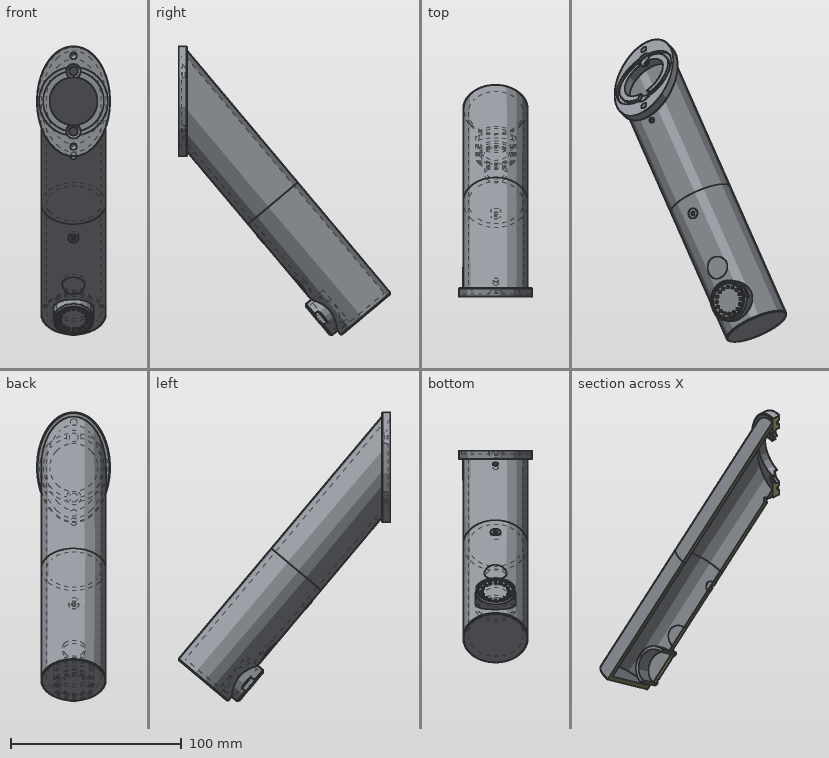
import cadquery as cq
import math

tilt = 50.0
slope = math.radians(tilt)
axis = cq.Vector(0, math.cos(slope), -math.sin(slope))
underside = cq.Vector(0, -math.sin(slope), -math.cos(slope))

flange_width = 43.0
flange_height = 64.5
flange_thickness = 5.0
flange_chamfer = 0.5
flange_bore_radius = 14.0
groove_inner_radius = 17.8
groove_outer_radius = 20.1
groove_depth = 1.7

bolt_offset = 17.6
bolt_hole_radius = 2.5
bolt_head_radius = 4.2
bolt_head_depth = 2.0
bolt_cone_depth = bolt_head_radius - bolt_hole_radius

dimple_offset = 26.5
dimple_diameter = 3.9
dimple_radius = dimple_diameter / 2
dimple_depth = dimple_radius

tube_diameter = 38.0
tube_radius = tube_diameter / 2
bore_radius = 16.0
wall = tube_radius - bore_radius
joint_station = 78.0
end_station = 162.9
end_chamfer = 0.5
drain_station = 26.7
drain_radius = 1.5

grub_station = 89.0
grub_diameter = 6.0
grub_radius = grub_diameter / 2
grub_proud = 0.2
grub_socket_width = 2.4
socket_sides = 6
grub_socket_depth = 1.0

window_station = 125.2
window_diameter = 13.0
window_radius = window_diameter / 2

nozzle_station = 147.5
nozzle_diameter = 23.8
nozzle_radius = nozzle_diameter / 2
nozzle_base = 10.1
nozzle_face = 24.0
nozzle_chamfer = 1.0
flat_offset = 11.2
flat_height = 3.5

aerator_radius = 10.0
aerator_thickness = 3.4
aerator_recess = 1.0
aerator_face = nozzle_face - aerator_recess
jet_count = 16
jet_circle_radius = 8.0
jet_radius = 0.8
jet_depth = 0.3

axis_start = cq.Vector(0, flange_thickness, 0)


def across_axis(station):
    """Workplane square to the spout axis, facing down the spout."""
    return cq.Workplane(cq.Plane(axis_start + axis * station, (1, 0, 0), axis))


def under_axis(station, height):
    """Workplane at a height below the spout axis, facing out of the underside."""
    origin = axis_start + axis * station + underside * height
    return cq.Workplane(cq.Plane(origin, (1, 0, 0), underside))


def underside_pin(station, radius, start, end):
    """Round pin square to the spout axis, between two heights."""
    return under_axis(station, start).circle(radius).extrude(end - start)


def flange_plane(depth, z=0):
    """Workplane parallel to the flange face at a depth into it, facing +Y."""
    return cq.Workplane(cq.Plane((0, depth, z), (1, 0, 0), (0, 1, 0)))


def flange_cone(depth, z, start_radius, end_radius, height):
    """Cone along +Y that starts at a depth into the flange."""
    cone = cq.Solid.makeCone(start_radius, end_radius, height, cq.Vector(0, depth, z), cq.Vector(0, 1, 0))
    return cq.Workplane(cone)


def bolt_hole(z):
    """Through hole with a sunk conical seat for a bolt head."""
    hole = flange_plane(0, z).circle(bolt_hole_radius).extrude(flange_thickness)
    head = flange_plane(0, z).circle(bolt_head_radius).extrude(bolt_head_depth)
    seat = flange_cone(bolt_head_depth, z, bolt_head_radius, bolt_hole_radius, bolt_cone_depth)
    return hole.union(head).union(seat)


def make_flange():
    """Elliptical wall plate with a seal groove, two bolt holes and two conical dimples."""
    plate = flange_plane(0).ellipse(flange_width / 2, flange_height / 2).extrude(flange_thickness)
    plate = plate.faces(">Y").chamfer(flange_chamfer)
    plate = plate.cut(flange_plane(0).circle(flange_bore_radius).extrude(flange_thickness))
    groove = flange_plane(0).circle(groove_outer_radius).circle(groove_inner_radius).extrude(groove_depth)
    plate = plate.cut(groove)
    for side in (1, -1):
        plate = plate.cut(bolt_hole(side * bolt_offset))
        plate = plate.cut(flange_cone(0, side * dimple_offset, dimple_radius, 0, dimple_depth))
    return plate


def make_upper_tube():
    """Tube cut off along the back of the flange, with a drain hole in its underside."""
    tube = across_axis(-tube_diameter).circle(tube_radius).circle(bore_radius)
    tube = tube.extrude(tube_diameter + joint_station)
    flange_side = flange_plane(flange_thickness).circle(2 * tube_diameter).extrude(-2 * tube_diameter)
    return tube.cut(flange_side).cut(underside_pin(drain_station, drain_radius, 0, tube_diameter))


def make_lower_blank():
    """Tube with a closed, chamfered end, before its underside holes are cut."""
    length = end_station - joint_station
    blank = across_axis(joint_station).circle(tube_radius).extrude(length)
    blank = blank.faces(cq.DirectionMinMaxSelector(axis)).chamfer(end_chamfer)
    return blank.cut(across_axis(joint_station).circle(bore_radius).extrude(length - wall))


def make_lower_tube():
    """Lower tube with through holes for the grub screw, the window and the nozzle."""
    tube = make_lower_blank()
    for station, radius in (
        (grub_station, grub_radius),
        (window_station, window_radius),
        (nozzle_station, nozzle_radius),
    ):
        tube = tube.cut(underside_pin(station, radius, 0, tube_diameter))
    return tube


def make_window():
    """Sensor window that follows the curved tube wall."""
    return underside_pin(window_station, window_radius, 0, tube_diameter).intersect(make_lower_blank())


def make_grub_screw():
    """Grub screw with a hexagon socket."""
    head = tube_radius + grub_proud
    screw = underside_pin(grub_station, grub_radius, bore_radius, head)
    socket = under_axis(grub_station, head).polygon(socket_sides, grub_socket_width).extrude(-grub_socket_depth)
    return screw.cut(socket)


def make_nozzle():
    """Sleeve with a chamfered rim and two spanner flats with sloping shoulders."""
    sleeve = underside_pin(nozzle_station, nozzle_radius, nozzle_base, nozzle_face)
    sleeve = sleeve.faces(cq.DirectionMinMaxSelector(underside)).chamfer(nozzle_chamfer)
    shoulder = nozzle_radius - flat_offset
    start = under_axis(nozzle_station - nozzle_radius, nozzle_face).plane.origin
    section = cq.Workplane(cq.Plane(start, (1, 0, 0), axis))
    for side in (1, -1):
        outline = section.polyline([
            (side * flat_offset, 0),
            (side * nozzle_radius, 0),
            (side * nozzle_radius, -flat_height - shoulder),
            (side * flat_offset, -flat_height),
        ])
        sleeve = sleeve.cut(outline.close().extrude(nozzle_diameter))
    return sleeve.cut(underside_pin(nozzle_station, aerator_radius, 0, tube_diameter))


def make_aerator():
    """Disc set back inside the nozzle rim, with a ring of jets."""
    disc = underside_pin(nozzle_station, aerator_radius, aerator_face - aerator_thickness, aerator_face)
    jets = under_axis(nozzle_station, aerator_face).polarArray(jet_circle_radius, 0, 360, jet_count)
    return disc.cut(jets.circle(jet_radius).extrude(-jet_depth))


flange = make_flange()
upper_tube = make_upper_tube()
lower_tube = make_lower_tube()
window = make_window()
grub_screw = make_grub_screw()
nozzle = make_nozzle()
aerator = make_aerator()

result = cq.Compound.makeCompound([
    flange.val(),
    upper_tube.val(),
    lower_tube.val(),
    window.val(),
    grub_screw.val(),
    nozzle.val(),
    aerator.val(),
])